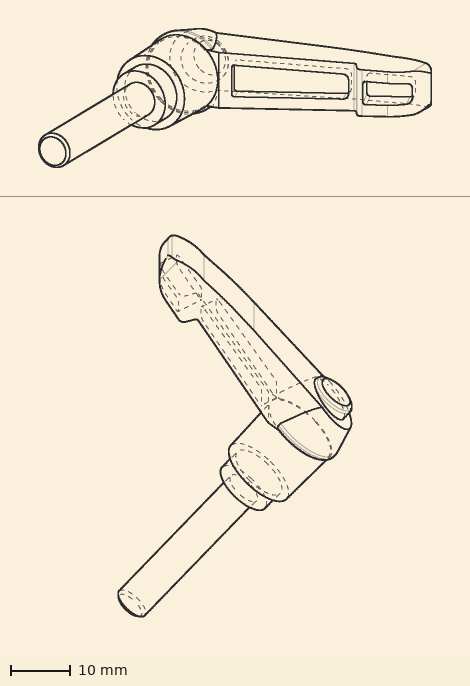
import cadquery as cq
import math


stud_diameter = 6.0
stud_length = 30.0
stud_chamfer = 0.5
collar_diameter = 10.0
collar_height = 4.0

barrel_bottom_radius = 6.5
barrel_top_radius = 6.8
rim_radius = 7.25
rim_bottom = 15.0
rim_fillet = 0.7
rim_top = 16.25
shoulder_slope = math.tan(math.radians(14.5))
shoulder_top = 26.0

cap_diameter = 8.0
cap_top = 24.5
cap_edge_height = 23.65
cap_edge_radius = 0.5
cap_cone_angle = 30.0

overall_height = 60.0
handle_top = overall_height - stud_length
handle_end = 40.0
back_angle = 13.0
back_height_on_axis = 22.73
bow_start = 20.2
bow_end = (32.8, 29.53)
crest_x = 36.2
tip_edge_radius = 0.6
belly_angle = 20.0
belly_start_x = 6.95
belly_end_x = 28.85
nose_corner_x = 30.39
notch_angle = 57.0
notch_root_radius = 0.5
nose_radius = 1.0
tip_arc_start_x = 35.2

half_width_on_axis = 5.16
half_width_at_end = 3.83
end_corner_radius = 1.5

pocket_wall = 2.05
pocket_rear_radius = 0.5
pocket_front_radius = 1.0
main_pocket_start_x = 9.04
main_pocket_end_x = 27.67
main_pocket_depth = 2.9
nose_pocket_start_x = 31.3
nose_pocket_end_x = 39.0
nose_pocket_depth = 4.5

back_slope = math.tan(math.radians(back_angle))
belly_slope = math.tan(math.radians(belly_angle))


def back_y(x):
    """Height of the straight back of the handle."""
    return back_height_on_axis + back_slope * x


def belly_y(x):
    """Height of the straight underside between hub and notch."""
    return rim_bottom + belly_slope * (x - belly_start_x)


def nose_y(x):
    """Height of the straight underside of the nose, beyond the notch."""
    notch_drop = math.tan(math.radians(notch_angle)) * (nose_corner_x - belly_end_x)
    return belly_y(belly_end_x) - notch_drop + belly_slope * (x - nose_corner_x)


def half_width(x):
    """Half of the handle width along Z, tapering toward the tip."""
    return half_width_on_axis + (half_width_at_end - half_width_on_axis) * x / handle_end


def make_barrel_and_stud():
    """Stud, collar and tapered barrel revolved about Y."""
    stud_radius = stud_diameter / 2
    collar_radius = collar_diameter / 2
    return (
        cq.Workplane("XY")
        .moveTo(0, -stud_length)
        .lineTo(stud_radius - stud_chamfer, -stud_length)
        .lineTo(stud_radius, -stud_length + stud_chamfer)
        .lineTo(stud_radius, 0)
        .lineTo(collar_radius, 0)
        .lineTo(collar_radius, collar_height)
        .lineTo(barrel_bottom_radius, collar_height)
        .lineTo(barrel_top_radius, rim_bottom)
        .lineTo(0, rim_bottom)
        .close()
        .revolve(360, (0, 0, 0), (0, 1, 0))
    )


def make_shoulder():
    """Rounded rim and conical shoulder, cut off by the sloping back plane."""
    top_radius = rim_radius - shoulder_slope * (shoulder_top - rim_top)
    cone = (
        cq.Workplane("XY")
        .moveTo(0, rim_bottom)
        .lineTo(rim_radius - rim_fillet, rim_bottom)
        .radiusArc((rim_radius, rim_bottom + rim_fillet), -rim_fillet)
        .lineTo(rim_radius, rim_top)
        .lineTo(top_radius, shoulder_top)
        .lineTo(0, shoulder_top)
        .close()
        .revolve(360, (0, 0, 0), (0, 1, 0))
    )
    below_back = (
        cq.Workplane("XY")
        .polyline([
            (-rim_radius, rim_bottom),
            (rim_radius, rim_bottom),
            (rim_radius, back_y(rim_radius)),
            (-rim_radius, back_y(-rim_radius)),
        ])
        .close()
        .extrude(rim_radius, both=True)
    )
    return cone.intersect(below_back)


def make_cap():
    """Cap standing out of the sloping back, with a rounded edge running into a shallow cone."""
    cap_radius = cap_diameter / 2
    cone_angle = math.radians(cap_cone_angle)
    cone_start_radius = cap_radius - cap_edge_radius * (1 - math.sin(cone_angle))
    cone_start_height = cap_edge_height + cap_edge_radius * math.cos(cone_angle)
    top_radius = cone_start_radius - (cap_top - cone_start_height) / math.tan(cone_angle)
    return (
        cq.Workplane("XY")
        .moveTo(0, rim_bottom)
        .lineTo(cap_radius, rim_bottom)
        .lineTo(cap_radius, cap_edge_height)
        .radiusArc((cone_start_radius, cone_start_height), -cap_edge_radius)
        .lineTo(top_radius, cap_top)
        .lineTo(0, cap_top)
        .close()
        .revolve(360, (0, 0, 0), (0, 1, 0))
    )


def make_handle():
    """Side profile trimmed by the tapered plan outline with rounded end."""
    tip_radius = (handle_end - tip_arc_start_x) / (1 - math.sin(math.radians(belly_angle)))
    tip_y = nose_y(tip_arc_start_x) + tip_radius * math.cos(math.radians(belly_angle))
    profile = (
        cq.Workplane("XY")
        .moveTo(0, rim_bottom)
        .lineTo(0, back_y(0))
        .lineTo(bow_start, back_y(bow_start))
        .tangentArcPoint(bow_end, relative=False)
        .threePointArc((crest_x, handle_top), (handle_end, tip_y))
        .radiusArc((tip_arc_start_x, nose_y(tip_arc_start_x)), tip_radius)
        .lineTo(nose_corner_x, nose_y(nose_corner_x))
        .lineTo(belly_end_x, belly_y(belly_end_x))
        .lineTo(belly_start_x, rim_bottom)
        .close()
        .extrude(rim_radius, both=True)
    )
    profile = fillet_across(profile, belly_end_x, belly_y(belly_end_x), notch_root_radius)
    profile = fillet_across(profile, nose_corner_x, nose_y(nose_corner_x), nose_radius)
    profile = fillet_across(profile, handle_end, tip_y, tip_edge_radius)
    plan = (
        cq.Workplane("XZ")
        .polyline([
            (0, -half_width(0)),
            (handle_end, -half_width_at_end),
            (handle_end, half_width_at_end),
            (0, half_width(0)),
        ])
        .close()
        .extrude(-2 * handle_top)
        .edges("|Y and >X")
        .fillet(end_corner_radius)
    )
    return profile.intersect(plan)


def fillet_across(body, x, y, radius):
    """Round the edge running along Z through the point (x, y)."""
    return body.edges(cq.selectors.NearestToPointSelector((x, y, 0))).fillet(radius)


def make_pocket(start, end, depth):
    """Tapered pocket tool, square to the underside, entering between two points on it."""
    length = (end[0] - start[0]) / math.cos(math.radians(belly_angle))
    rear_half = half_width(start[0]) - pocket_wall
    front_half = half_width(end[0]) - pocket_wall
    inward = (-math.sin(math.radians(belly_angle)), math.cos(math.radians(belly_angle)), 0)
    along = (inward[1], -inward[0], 0)
    tool = (
        cq.Workplane(cq.Plane(origin=(start[0], start[1], 0), xDir=along, normal=inward))
        .polyline([(0, -rear_half), (length, -front_half), (length, front_half), (0, rear_half)])
        .close()
        .extrude(depth)
    )
    rear = (start, rear_half, pocket_rear_radius)
    front = (end, front_half, pocket_front_radius)
    for point, half, radius in (rear, front):
        for side in (-half, half):
            middle = (point[0] + inward[0] * depth / 2, point[1] + inward[1] * depth / 2, side)
            tool = tool.edges(cq.selectors.NearestToPointSelector(middle)).fillet(radius)
    return tool


main_pocket = make_pocket(
    (main_pocket_start_x, belly_y(main_pocket_start_x)),
    (main_pocket_end_x, belly_y(main_pocket_end_x)),
    main_pocket_depth,
)
nose_pocket = make_pocket(
    (nose_pocket_start_x, nose_y(nose_pocket_start_x)),
    (nose_pocket_end_x, nose_y(nose_pocket_end_x)),
    nose_pocket_depth,
)
handle = make_handle().cut(main_pocket).cut(nose_pocket)
result = make_barrel_and_stud().union(make_shoulder()).union(handle).union(make_cap())